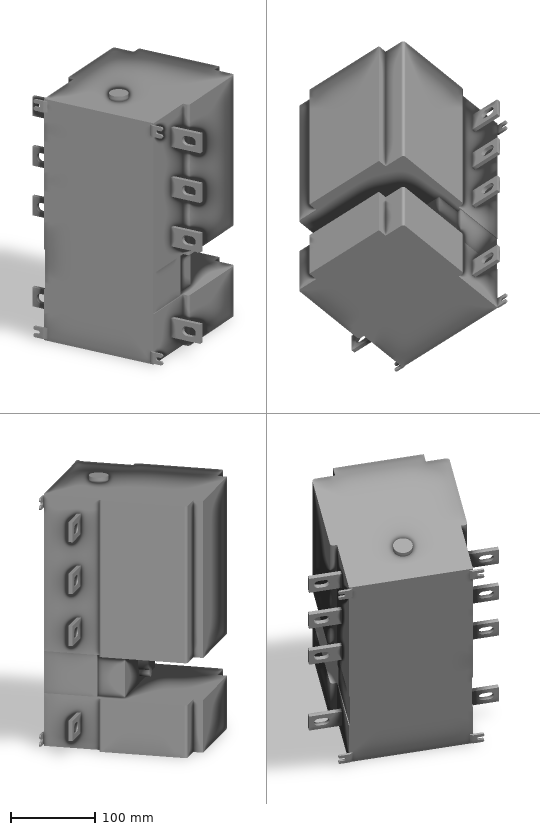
import cadquery as cq

TOTAL_HEIGHT = 316.3
BUTTON_HEIGHT = 6.3
HOUSING_HEIGHT = TOTAL_HEIGHT - BUTTON_HEIGHT
FRONT_WIDTH = 150.0
WIDE_WIDTH = 166.0
REAR_WIDTH = 109.8
WIDE_START_Y = 69.5
WIDE_END_Y = 178.0
HOUSING_DEPTH = 190.0
WIDE_CORNER_RADIUS = 3.5

LOWER_BLOCK_TOP = 64.8
UPPER_BLOCK_BASE = 116.7
NECK_HEIGHT = UPPER_BLOCK_BASE - LOWER_BLOCK_TOP
NECK_FRONT_WIDTH = 148.0
NECK_FRONT_DEPTH = 65.0
NECK_REAR_WIDTH = 137.3
NECK_DEPTH = 98.0

LOCK_LENGTH = 13.0
LOCK_RADIUS = 10.5
LOCK_TONGUE_RADIUS = 5.0
LOCK_CENTER_Z = 91.5
LOCK_BOTTOM_Z = 73.0

BUTTON_DIAMETER = 23.5
BUTTON_Y = 47.0

TAB_SPAN = 229.5
TAB_WIDTH = 24.7
TAB_THICKNESS = 5.0
TAB_CENTER_Y = 43.5
TAB_PITCH = 64.0
TAB_SLOT_LENGTH = 18.7
TAB_SLOT_WIDTH = 12.0
TAB_SLOT_EDGE = 6.0

CLIP_SPAN = 176.5
CLIP_HEIGHT = 14.2
CLIP_DEPTH = 2.5
CLIP_EDGE_GAP = 2.2
CLIP_FLAT_END_X = 76.0
CLIP_BEND_END_X = 73.7
CLIP_BEND_END_DEPTH = 2.02
CLIP_SLOPE_END_X = 71.5
CLIP_SLOPE_END_DEPTH = 1.0
CLIP_INNER_X = 70.2
CLIP_SLOT_END_X = 79.5
CLIP_PRONG_WIDTH = CLIP_HEIGHT / 3


def centered_block(width, y_start, y_end, z_start, height):
    """Box centred on X, between two Y values, standing on z_start."""
    block = cq.Workplane("XY").box(width, y_end - y_start, height, centered=(True, False, False))
    return block.translate((0, y_start, z_start))


def housing_block(z_start, height):
    """Stepped block: front part, wider middle with rounded corners, narrow rear ledge."""
    front = centered_block(FRONT_WIDTH, 0, WIDE_END_Y, z_start, height)
    wide = centered_block(WIDE_WIDTH, WIDE_START_Y, WIDE_END_Y, z_start, height)
    wide = wide.edges("|Z").fillet(WIDE_CORNER_RADIUS)
    rear = centered_block(REAR_WIDTH, WIDE_START_Y, HOUSING_DEPTH, z_start, height)
    return front.union(wide).union(rear)


def neck():
    """Link between the blocks: a front part and a slightly narrower rear part."""
    front = centered_block(NECK_FRONT_WIDTH, 0, NECK_FRONT_DEPTH, LOWER_BLOCK_TOP, NECK_HEIGHT)
    rear = centered_block(NECK_REAR_WIDTH, 0, NECK_DEPTH, LOWER_BLOCK_TOP, NECK_HEIGHT)
    return front.union(rear)


def lock():
    """Round barrel with a round-ended tongue hanging below it."""
    tongue_end_z = LOCK_BOTTOM_Z + LOCK_TONGUE_RADIUS
    rear_face = cq.Workplane("XZ", origin=(0, NECK_DEPTH, 0))
    barrel = rear_face.center(0, LOCK_CENTER_Z).circle(LOCK_RADIUS).extrude(-LOCK_LENGTH)
    tongue = (
        rear_face.moveTo(-LOCK_TONGUE_RADIUS, LOCK_CENTER_Z)
        .lineTo(-LOCK_TONGUE_RADIUS, tongue_end_z)
        .threePointArc((0, LOCK_BOTTOM_Z), (LOCK_TONGUE_RADIUS, tongue_end_z))
        .lineTo(LOCK_TONGUE_RADIUS, LOCK_CENTER_Z)
        .close()
        .extrude(-LOCK_LENGTH)
    )
    return barrel.union(tongue)


def button():
    """Round button standing on the top face."""
    top_face = cq.Workplane("XY", origin=(0, BUTTON_Y, HOUSING_HEIGHT))
    return top_face.circle(BUTTON_DIAMETER / 2).extrude(BUTTON_HEIGHT)


def tab_pair(z):
    """One bar through the housing whose two slotted ends form the tabs."""
    slot_x = TAB_SPAN / 2 - TAB_SLOT_EDGE - TAB_SLOT_LENGTH / 2
    bar = cq.Workplane("XZ").rect(TAB_SPAN, TAB_WIDTH).extrude(TAB_THICKNESS / 2, both=True)
    slots = (
        cq.Workplane("XZ")
        .pushPoints([(-slot_x, 0), (slot_x, 0)])
        .slot2D(TAB_SLOT_LENGTH, TAB_SLOT_WIDTH)
        .extrude(TAB_THICKNESS, both=True)
    )
    return bar.cut(slots).translate((0, TAB_CENTER_Y, z))


def clip(z_center):
    """Forked clip on the +X side, bent down to the front face at its inner end."""
    prong_radius = CLIP_PRONG_WIDTH / 2
    prong_end_x = CLIP_SPAN / 2
    slot_center_x = CLIP_SLOT_END_X + prong_radius
    root = (
        cq.Workplane("XY")
        .moveTo(CLIP_INNER_X, 0)
        .lineTo(slot_center_x, 0)
        .lineTo(slot_center_x, -CLIP_DEPTH)
        .lineTo(CLIP_FLAT_END_X, -CLIP_DEPTH)
        .tangentArcPoint((CLIP_BEND_END_X, -CLIP_BEND_END_DEPTH), relative=False)
        .lineTo(CLIP_SLOPE_END_X, -CLIP_SLOPE_END_DEPTH)
        .close()
        .extrude(CLIP_HEIGHT / 2, both=True)
    )
    slot = cq.Workplane("XZ").center(slot_center_x, 0).circle(prong_radius).extrude(CLIP_DEPTH)

    prong_length = prong_end_x - CLIP_FLAT_END_X
    prong_center_x = prong_end_x - prong_length / 2
    prongs = (
        cq.Workplane("XZ")
        .pushPoints([(prong_center_x, -CLIP_PRONG_WIDTH), (prong_center_x, CLIP_PRONG_WIDTH)])
        .slot2D(prong_length, CLIP_PRONG_WIDTH)
        .extrude(CLIP_DEPTH)
    )
    return root.cut(slot).union(prongs).translate((0, 0, z_center))


upper_block_height = HOUSING_HEIGHT - UPPER_BLOCK_BASE
upper_block_center = UPPER_BLOCK_BASE + upper_block_height / 2
result = housing_block(0, LOWER_BLOCK_TOP).union(housing_block(UPPER_BLOCK_BASE, upper_block_height))
result = result.union(neck()).union(lock()).union(button())

tab_heights = [LOWER_BLOCK_TOP / 2] + [upper_block_center + step * TAB_PITCH for step in (-1, 0, 1)]
for tab_z in tab_heights:
    result = result.union(tab_pair(tab_z))

clip_offset = CLIP_EDGE_GAP + CLIP_HEIGHT / 2
for clip_z in (clip_offset, HOUSING_HEIGHT - clip_offset):
    right_clip = clip(clip_z)
    result = result.union(right_clip).union(right_clip.mirror("YZ"))